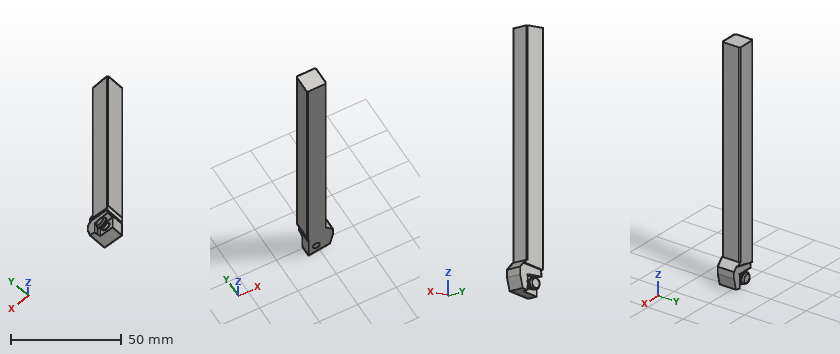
import cadquery as cq

total_length = 124.4
shank_size = 10.1
shank_bevel = 0.5
taper_top = 13.5

head_left = 0.7
head_right = 13.5
head_back = 9.3
flare_top = 15.3
flare_bottom = 11.7
flank_top = 8.2
tip_x = 11.9
tip_z = 2.0
relief_x = 0.9
relief_bottom = 10.2
relief_top = 11.3

bottom_slope = tip_z / (tip_x - head_left)
step_left_z = 11.7

pocket_floor = 6.1
pocket_ceiling = 8.8
pocket_wall_x = 9.1
ledge_y = 7.7
ledge_width = 0.4

screw_x = 4.8
screw_z = 5.1
stem_radius = 1.7
collar_radius = 2.1
screw_head_radius = 2.9
screw_crown_radius = 2.2
screw_rim_start = 8.6
screw_rim_end = 9.3
screw_end = 10.2


def extrude_outline(points, y_start, y_end):
    """Extrude an XZ outline from y_start to y_end."""
    outline = cq.Workplane("XZ", origin=(0, y_start, 0)).polyline(points).close()
    return outline.extrude(y_start - y_end)


def make_shank():
    height = total_length - relief_top
    bar = cq.Workplane("XY", origin=(0, 0, relief_top)).rect(shank_size, shank_size)
    bar = bar.extrude(height).edges("|Z").chamfer(shank_bevel)
    bar = bar.translate((shank_size / 2, shank_size / 2, 0))
    taper = [(0, taper_top), (0, relief_top), (relief_x, relief_top)]
    return bar.cut(extrude_outline(taper, 0, shank_size))


def make_head():
    outline = [
        (head_left, 0),
        (tip_x, tip_z),
        (head_right, flank_top),
        (head_right, flare_bottom),
        (shank_size, flare_top),
        (relief_x, flare_top),
        (relief_x, relief_bottom),
        (head_left, relief_bottom),
    ]
    return extrude_outline(outline, 0, shank_size)


def make_back_step():
    step_right_z = step_left_z + bottom_slope * head_right
    outline = [
        (0, 0),
        (head_right, 0),
        (head_right, step_right_z),
        (0, step_left_z),
    ]
    return extrude_outline(outline, head_back, shank_size)


def make_pocket(wall_x, floor_y):
    outline = [(0, 0), (wall_x, 0), (wall_x, pocket_ceiling), (0, pocket_ceiling)]
    return extrude_outline(outline, floor_y, shank_size)


def make_screw_hole():
    circle = cq.Workplane("XZ").center(screw_x, screw_z).circle(stem_radius)
    return circle.extrude(-pocket_floor)


def make_holder():
    holder = make_shank().union(make_head())
    holder = holder.cut(make_back_step())
    holder = holder.cut(make_pocket(pocket_wall_x, ledge_y))
    holder = holder.cut(make_pocket(pocket_wall_x - ledge_width, pocket_floor))
    return holder.cut(make_screw_hole())


def make_screw():
    profile = [
        (0, 0),
        (stem_radius, 0),
        (stem_radius, pocket_floor),
        (collar_radius, pocket_floor),
        (collar_radius, ledge_y),
        (screw_head_radius, screw_rim_start),
        (screw_head_radius, screw_rim_end),
        (screw_crown_radius, screw_end),
        (0, screw_end),
    ]
    screw = cq.Workplane("XY").polyline(profile).close().revolve(360, (0, 0), (0, 1))
    return screw.translate((screw_x, 0, screw_z))


holder = make_holder()
screw = make_screw()
result = cq.Compound.makeCompound([holder.val(), screw.val()])